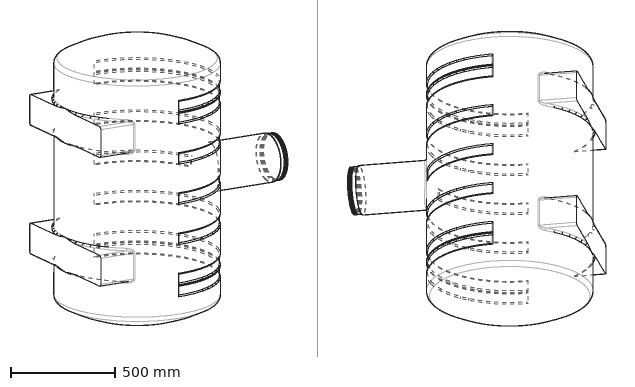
import cadquery as cq
import math

HEIGHT = 1400.0
TANK_DIAMETER = 800.0
TANK_RADIUS = TANK_DIAMETER / 2
DOME_RADIUS = TANK_DIAMETER
DOME_EDGE_FILLET = 30.0

NECK_END = 770.0
NECK_DIAMETER = 240.0
SPIGOT_DIAMETER = 231.0
SPIGOT_LENGTH = 40.0
GROOVE_COUNT = 3
GROOVE_WIDTH = 3.5
GROOVE_DEPTH = 1.0

BAND_OFFSETS = [0, 200.0, 400.0, 460.0]
BAND_WIDTH = 57.0
BAND_DEPTH = 5.0
BAND_FILLET = 7.0
BAND_OVERLAP = 4.0

FOOT_WIDTH = 675.0
FOOT_HEIGHT = 154.0
FOOT_OFFSET = 320.0
FOOT_EDGE_FILLET = 13.0

JOINT_FILLET = 10.0
CLEARANCE = 28.0
MARGIN = 7.0


def cylinder_along_y(diameter, start, end):
    return cq.Workplane("XZ", origin=(0, start, 0)).circle(diameter / 2).extrude(start - end)


def fillet_within(body, radius, half_x, y_range, z_range):
    """Round every edge that lies wholly inside a box, with a little slack all round."""
    low = (-half_x - MARGIN, y_range[0] - MARGIN, z_range[0] - MARGIN)
    high = (half_x + MARGIN, y_range[1] + MARGIN, z_range[1] + MARGIN)
    return body.edges(cq.selectors.BoxSelector(low, high, boundingbox=True)).fillet(radius)


def make_tank():
    apex = HEIGHT / 2
    sphere_centre = apex - DOME_RADIUS
    rim = sphere_centre + math.sqrt(DOME_RADIUS**2 - TANK_RADIUS**2)
    mid_angle = math.asin(TANK_RADIUS / DOME_RADIUS) / 2
    mid_radius = DOME_RADIUS * math.sin(mid_angle)
    mid_height = sphere_centre + DOME_RADIUS * math.cos(mid_angle)
    tank = (
        cq.Workplane("XZ")
        .moveTo(0, -apex)
        .threePointArc((mid_radius, -mid_height), (TANK_RADIUS, -rim))
        .lineTo(TANK_RADIUS, rim)
        .threePointArc((mid_radius, mid_height), (0, apex))
        .close()
        .revolve(360, (0, 0, 0), (0, 1, 0))
    )
    for z in (-rim, rim):
        tank = fillet_within(tank, DOME_EDGE_FILLET, TANK_RADIUS, (-TANK_RADIUS, TANK_RADIUS), (z, z))
    return tank


def add_feet(body):
    front = -TANK_RADIUS
    for z in (-FOOT_OFFSET, FOOT_OFFSET):
        foot = (
            cq.Workplane("XZ", origin=(0, 0, z))
            .rect(FOOT_WIDTH, FOOT_HEIGHT)
            .extrude(TANK_RADIUS + CLEARANCE)
            .edges("|Y").fillet(FOOT_EDGE_FILLET)
        )
        z_range = (z - FOOT_HEIGHT / 2, z + FOOT_HEIGHT / 2)
        body = fillet_within(body.union(foot), JOINT_FILLET, FOOT_WIDTH / 2, (front, 0), z_range)
    excess = (
        cq.Workplane("XZ", origin=(0, front, 0))
        .rect(TANK_DIAMETER, HEIGHT)
        .extrude(2 * CLEARANCE)
    )
    return body.cut(excess)


def add_neck(body):
    shoulder = NECK_END - SPIGOT_LENGTH
    reach = NECK_DIAMETER / 2
    body = body.union(cylinder_along_y(NECK_DIAMETER, 0, shoulder))
    body = fillet_within(body, JOINT_FILLET, reach, (MARGIN, TANK_RADIUS), (-reach, reach))
    return body.union(cylinder_along_y(SPIGOT_DIAMETER, shoulder, NECK_END))


def cut_spigot_grooves(body):
    floor_diameter = SPIGOT_DIAMETER - 2 * GROOVE_DEPTH
    for i in range(GROOVE_COUNT):
        start = NECK_END - (2 * i + 1) * GROOVE_WIDTH
        end = start - GROOVE_WIDTH
        floor = cylinder_along_y(floor_diameter, start, end)
        body = body.cut(cylinder_along_y(NECK_DIAMETER, start, end).cut(floor))
    return body


def make_band_cutter():
    floor_radius = TANK_RADIUS - BAND_DEPTH
    full_ring = (
        cq.Workplane("XY")
        .circle(TANK_RADIUS + CLEARANCE)
        .circle(floor_radius)
        .extrude(BAND_WIDTH / 2, both=True)
    )
    neck_half = (
        cq.Workplane("XY", origin=(0, -BAND_OVERLAP, 0))
        .box(2 * TANK_DIAMETER, TANK_DIAMETER, BAND_WIDTH, centered=(True, False, True))
    )
    return fillet_within(
        full_ring.intersect(neck_half),
        BAND_FILLET,
        floor_radius,
        (-BAND_OVERLAP, floor_radius),
        (-BAND_WIDTH / 2, BAND_WIDTH / 2),
    )


def cut_bands(body):
    cutter = make_band_cutter()
    neck_zone = cylinder_along_y(NECK_DIAMETER + 2 * JOINT_FILLET, 0, NECK_END)
    for z in sorted({side * offset for offset in BAND_OFFSETS for side in (-1, 1)}):
        body = body.cut(cutter.translate((0, 0, z)).cut(neck_zone))
    return body


tank_with_feet = add_feet(make_tank())
tank_with_neck = cut_spigot_grooves(add_neck(tank_with_feet))
result = cut_bands(tank_with_neck)